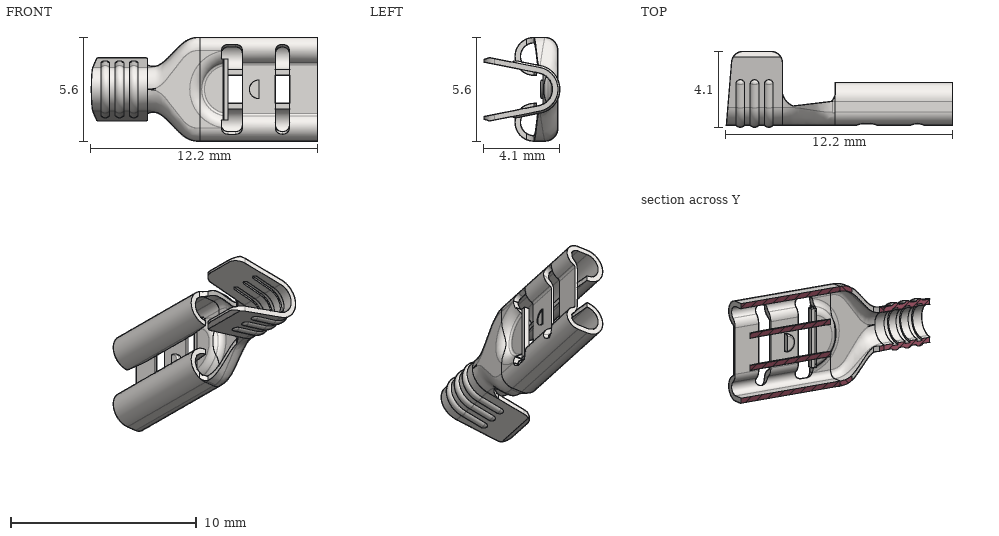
import cadquery as cq
import math


LENGTH = 12.19
HEIGHT = 5.6
HALF_HEIGHT = HEIGHT / 2
SHEET = 0.3

BARREL_END = 3.04
BARREL_RADIUS = 1.2
WING_LEAN = math.radians(11.2)
WING_TOP = 3.99
WING_SETBACK = 0.33
WING_CORNER = 0.63
BEVEL_START = 3.68
TIP_THICKNESS = 0.15

RIB_COUNT = 3
RIB_FIRST_X = 0.75
RIB_PITCH = 0.77
RIB_WIDTH = 0.46
RIB_HEIGHT = 0.11
GROOVE_WIDTH = 0.29
GROOVE_DEPTH = 0.11
RIB_STRAIGHT_END = 2.23

NECK_END = 5.86
CORNER_RADIUS = 0.71
CURL_RADIUS = 1.02
SIDE_WALL = 0.59
LIP_LENGTH = 0.15
LIP_TAPER = 9.8
FLOOR_HALF = HALF_HEIGHT - CORNER_RADIUS
CURL_CENTER_Y = CORNER_RADIUS + SIDE_WALL
CURL_CENTER_Z = HALF_HEIGHT - CURL_RADIUS

RAISE_DEPTH = 0.51
RAISE_RUN = 0.79
STRIP_THICKNESS = 0.15

SLOT_LENGTH = 4.84
SLOT_HALF = SLOT_LENGTH / 2
REAR_SLOT = (7.01, 8.14)
REAR_SLOT_CORNER = 0.37
FRONT_SLOT = (9.91, 10.68)
FRONT_SLOT_CORNER = 0.38
SLOT_CUT_TOP = 0.85

DISH_RADIUS = 2.1
DISH_X = 7.4
DISH_END = 7.08
TONGUE_HALF = 1.65
TONGUE_END = 7.37
TONGUE_STEP = 0.05
TONGUE_STEP_RUN = 0.07

DIMPLE_RADIUS = 0.5
DIMPLE_X = 9.02
DIMPLE_HEIGHT = 0.27
DIMPLE_ROUND = 0.1
DIMPLE_RECESS = 0.05

NECK_SECTIONS = 9
NECK_FLAT_START = 0.006
NECK_WALL_TOP = 1.95
HOLLOW_TOP = (BARREL_END, 1.71)
HOLLOW_MIDDLE = (3.18, 1.38)
HOLLOW_BOTTOM = (3.61, 1.05)
EAR_START = 5.66
EAR_MIDDLE = (5.8, 1.49)
EAR_TOP = (NECK_END, 1.83)


def on_circle(center, radius, angle):
    """Point (Y, Z) on a circle; angle 0 is straight down (-Y), 90 degrees is outward (+Z)."""
    return (center[0] - radius * math.cos(angle), center[1] + radius * math.sin(angle))


def box_between(x, y, z):
    return cq.Workplane("XY").box(
        x[1] - x[0], y[1] - y[0], z[1] - z[0], centered=False
    ).translate((x[0], y[0], z[0]))


def section_plane(x):
    return cq.Workplane("YZ", origin=(x, 0, 0))


def mirrored(body):
    return body.union(body.mirror("XY"))



def barrel_path(top, inset):
    """Key points of a U line parallel to the outer face: top, foot of the wing and bottom."""
    foot = on_circle((BARREL_RADIUS, 0), BARREL_RADIUS - inset, math.pi / 2 - WING_LEAN)
    top_z = foot[1] + (top - foot[0]) * math.tan(WING_LEAN)
    return (top, top_z), foot, (inset, 0)


def flipped(point):
    return (point[0], -point[1])


def barrel_sheet():
    outer_top, outer_foot, outer_bottom = barrel_path(BEVEL_START, 0)
    inner_top, inner_foot, inner_bottom = barrel_path(WING_TOP, SHEET)
    tip = (WING_TOP, inner_top[1] + TIP_THICKNESS)
    section = (
        section_plane(0)
        .moveTo(*tip)
        .lineTo(*outer_top)
        .lineTo(*outer_foot)
        .threePointArc(outer_bottom, flipped(outer_foot))
        .lineTo(*flipped(outer_top))
        .lineTo(*flipped(tip))
        .lineTo(*flipped(inner_top))
        .lineTo(*flipped(inner_foot))
        .threePointArc(inner_bottom, inner_foot)
        .lineTo(*inner_top)
        .close()
    )
    outline = (
        cq.Workplane("XY")
        .moveTo(0, 0)
        .lineTo(BARREL_END, 0)
        .lineTo(BARREL_END, WING_TOP)
        .lineTo(WING_SETBACK, WING_TOP)
        .close()
        .extrude(HALF_HEIGHT, both=True)
        .edges("|Z and >Y")
        .fillet(WING_CORNER)
    )
    return section.extrude(BARREL_END).intersect(outline)


def bead_path(x, inset):
    """Path across the barrel along the U line at `inset`, over the length of a rib."""
    top, foot, bottom = barrel_path(RIB_STRAIGHT_END, inset)
    return (
        section_plane(x)
        .moveTo(*top)
        .lineTo(*foot)
        .threePointArc(bottom, flipped(foot))
        .lineTo(*flipped(top))
    )


def bead_end_plane(x, inset):
    """Plane across the upper end of a bead path; its y axis points out of the wing."""
    top = barrel_path(RIB_STRAIGHT_END, inset)[0]
    along_x = cq.Vector(1, 0, 0)
    outward = cq.Vector(0, -math.sin(WING_LEAN), math.cos(WING_LEAN))
    return cq.Plane(origin=(x, *top), xDir=along_x, normal=along_x.cross(outward))


def swept_bead(section, half_section, path):
    """Sweep a section along a bead path and round both ends with the turned half section."""
    end = half_section.revolve(360, (0, 0), (0, 1))
    return section.sweep(path).union(end).union(end.mirror("XY"))


def crimp_rib(x):
    plane = bead_end_plane(x, 0)
    half = RIB_WIDTH / 2
    radius = (half ** 2 + RIB_HEIGHT ** 2) / (2 * RIB_HEIGHT)
    shoulder = (half / 2, RIB_HEIGHT - radius + math.sqrt(radius ** 2 - half ** 2 / 4))
    crest = (0, RIB_HEIGHT)
    section = cq.Workplane(plane).moveTo(-half, 0).threePointArc(crest, (half, 0)).close()
    half_section = cq.Workplane(plane).lineTo(half, 0).threePointArc(shoulder, crest).close()
    return swept_bead(section, half_section, bead_path(x, 0))


def crimp_groove(x):
    plane = bead_end_plane(x, SHEET)
    section = cq.Workplane(plane).rect(GROOVE_WIDTH, 2 * GROOVE_DEPTH)
    half_section = (
        cq.Workplane(plane)
        .moveTo(0, -GROOVE_DEPTH)
        .rect(GROOVE_WIDTH / 2, 2 * GROOVE_DEPTH, centered=False)
    )
    return swept_bead(section, half_section, bead_path(x, SHEET))


def make_barrel():
    barrel = barrel_sheet()
    for i in range(RIB_COUNT):
        x = RIB_FIRST_X + i * RIB_PITCH
        barrel = barrel.union(crimp_rib(x))
        barrel = barrel.cut(crimp_groove(x))
    return barrel



def joggle(edge, level, rise, convex):
    """Arc points of an S-shaped step that leaves `level` at Z = edge and climbs by `rise` inward."""
    angle = 2 * math.atan(rise / RAISE_RUN)
    concave = RAISE_RUN / math.sin(angle) - convex
    low = (level + convex, edge)
    high = (level + rise - concave, edge - RAISE_RUN)
    return (
        on_circle(low, convex, 0),
        on_circle(low, convex, -angle / 2),
        on_circle(low, convex, -angle),
        on_circle(high, concave, math.pi - angle / 2),
        on_circle(high, concave, math.pi),
    )


def raised_section(plane, edge, thickness):
    """Half section of the joggled sheet, from the floor's edge to the middle."""
    under = joggle(edge, 0, RAISE_DEPTH, CORNER_RADIUS)
    upper = joggle(edge, SHEET, RAISE_DEPTH + thickness - SHEET, CORNER_RADIUS - SHEET)
    return (
        plane
        .moveTo(*under[0])
        .threePointArc(under[1], under[2])
        .threePointArc(under[3], under[4])
        .lineTo(RAISE_DEPTH, 0)
        .lineTo(RAISE_DEPTH + thickness, 0)
        .lineTo(*upper[4])
        .threePointArc(upper[3], upper[2])
        .threePointArc(upper[1], upper[0])
        .close()
    )


def make_dish():
    turned = raised_section(section_plane(DISH_X), DISH_RADIUS, SHEET).revolve(360, (0, 0), (1, 0))
    neck_side = box_between((DISH_X - DISH_RADIUS, DISH_END), (0, SLOT_CUT_TOP), (-DISH_RADIUS, DISH_RADIUS))
    return turned.intersect(neck_side)


def dish_opening():
    return (
        cq.Workplane("XZ", origin=(DISH_X, 0, 0))
        .circle(DISH_RADIUS)
        .extrude(-SHEET)
    )



def rail(start, end):
    """Corner bend, side wall and curled edge on the +Z side, between two X positions."""
    corner = (CORNER_RADIUS, FLOOR_HALF)
    curl = (CURL_CENTER_Y, CURL_CENTER_Z)
    lip_y = CURL_CENTER_Y - LIP_LENGTH
    inner_corner = CORNER_RADIUS - SHEET
    inner_curl = CURL_RADIUS - SHEET
    eighth = math.pi / 4
    out, back, tip = 2 * eighth, 4 * eighth, 6 * eighth
    return (
        section_plane(start)
        .moveTo(*on_circle(corner, CORNER_RADIUS, 0))
        .threePointArc(on_circle(corner, CORNER_RADIUS, eighth), on_circle(corner, CORNER_RADIUS, out))
        .lineTo(*on_circle(curl, CURL_RADIUS, out))
        .threePointArc(on_circle(curl, CURL_RADIUS, back), on_circle(curl, CURL_RADIUS, tip))
        .lineTo(lip_y, CURL_CENTER_Z - CURL_RADIUS)
        .lineTo(lip_y, CURL_CENTER_Z - inner_curl)
        .lineTo(*on_circle(curl, inner_curl, tip))
        .threePointArc(on_circle(curl, inner_curl, back), on_circle(curl, inner_curl, out))
        .lineTo(*on_circle(corner, inner_corner, out))
        .threePointArc(on_circle(corner, inner_corner, eighth), on_circle(corner, inner_corner, 0))
        .close()
        .extrude(end - start)
    )


def lip_taper(end, inward):
    """Wedge that fades the curled lips out towards one end of the receptacle."""
    lip_y = CURL_CENTER_Y - LIP_LENGTH
    return (
        cq.Workplane("XY")
        .moveTo(end, lip_y)
        .lineTo(end + inward * LIP_TAPER, lip_y)
        .lineTo(end, CURL_CENTER_Y)
        .close()
        .extrude(CURL_CENTER_Z, both=True)
    )


def slot(limits, corner):
    """Floor slot whose end walls stand square to the sheet in the corner bends."""
    slope = math.tan(math.asin((SLOT_HALF - FLOOR_HALF) / CORNER_RADIUS))
    half_bottom = FLOOR_HALF + CORNER_RADIUS * slope
    half_top = half_bottom - SLOT_CUT_TOP * slope
    return (
        section_plane(limits[0])
        .moveTo(0, half_bottom)
        .lineTo(SLOT_CUT_TOP, half_top)
        .lineTo(SLOT_CUT_TOP, -half_top)
        .lineTo(0, -half_bottom)
        .close()
        .extrude(limits[1] - limits[0])
        .edges("not(|X or |Z)")
        .fillet(corner)
    )


def contact_strips():
    start = sum(REAR_SLOT) / 2
    section = raised_section(section_plane(start), FLOOR_HALF, STRIP_THICKNESS)
    return mirrored(section.extrude(LENGTH - start))


def half_disc(y, height):
    """Half-round pad from the plane Y = y upward, straight on the side facing the receptacle mouth."""
    return (
        cq.Workplane("XZ", origin=(DIMPLE_X, y, 0))
        .moveTo(0, DIMPLE_RADIUS)
        .threePointArc((-DIMPLE_RADIUS, 0), (0, -DIMPLE_RADIUS))
        .close()
        .extrude(-height)
    )


def dimple_recess():
    return half_disc(RAISE_DEPTH, DIMPLE_RECESS)


def dimple_bump():
    bump = half_disc(RAISE_DEPTH + STRIP_THICKNESS, DIMPLE_HEIGHT)
    return bump.faces(">Y").edges("%CIRCLE").fillet(DIMPLE_ROUND)


def tongue():
    """Stop tongue along the cut edge of the dish, bent back towards the floor."""
    low = RAISE_DEPTH - TONGUE_STEP
    step_end = DISH_END + TONGUE_STEP_RUN
    return (
        cq.Workplane("XY")
        .moveTo(DISH_END, RAISE_DEPTH)
        .lineTo(step_end, low)
        .lineTo(TONGUE_END, low)
        .lineTo(TONGUE_END, low + SHEET)
        .lineTo(step_end, low + SHEET)
        .lineTo(DISH_END, RAISE_DEPTH + SHEET)
        .close()
        .extrude(TONGUE_HALF, both=True)
    )


def make_receptacle(dish):
    rear_floor = box_between((NECK_END, REAR_SLOT[0]), (0, SHEET), (-FLOOR_HALF, FLOOR_HALF))
    body = mirrored(rail(NECK_END, LENGTH)).union(contact_strips())
    body = body.cut(lip_taper(NECK_END, 0.12)).cut(lip_taper(LENGTH, -0.12))
    body = body.cut(slot(REAR_SLOT, REAR_SLOT_CORNER)).cut(slot(FRONT_SLOT, FRONT_SLOT_CORNER))
    body = body.union(rear_floor.cut(dish_opening()))
    dish_part = dish.intersect(
        box_between((NECK_END, LENGTH), (0, SLOT_CUT_TOP), (-FLOOR_HALF, FLOOR_HALF)))
    dish_sides = box_between((REAR_SLOT[0], DISH_END), (0, SLOT_CUT_TOP), (TONGUE_HALF, SLOT_HALF))
    body = body.union(dish_part.cut(mirrored(dish_sides))).union(tongue())
    return body.cut(dimple_recess()).union(dimple_bump())



def neck_section(fraction):
    """Closed U section of the neck; fraction runs from 0 at the barrel to 1 at the receptacle."""
    blend = fraction ** 3 * (6 * fraction ** 2 - 15 * fraction + 10)
    flat = NECK_FLAT_START + (FLOOR_HALF - NECK_FLAT_START) * blend
    radius = BARREL_RADIUS + (CORNER_RADIUS - BARREL_RADIUS) * blend
    lean = WING_LEAN * (1 - blend)
    center = (radius, flat)

    def half_points(inset):
        bend = math.pi / 2 - lean
        bottom = on_circle(center, radius - inset, 0)
        middle = on_circle(center, radius - inset, bend / 2)
        foot = on_circle(center, radius - inset, bend)
        top = (NECK_WALL_TOP, foot[1] + (NECK_WALL_TOP - foot[0]) * math.tan(lean))
        return bottom, middle, foot, top

    bottom, middle, foot, top = half_points(0)
    in_bottom, in_middle, in_foot, in_top = half_points(SHEET)
    return (
        section_plane(BARREL_END + fraction * (NECK_END - BARREL_END))
        .moveTo(*top)
        .lineTo(*foot)
        .threePointArc(middle, bottom)
        .lineTo(*flipped(bottom))
        .threePointArc(flipped(middle), flipped(foot))
        .lineTo(*flipped(top))
        .lineTo(*flipped(in_top))
        .lineTo(*flipped(in_foot))
        .threePointArc(flipped(in_middle), flipped(in_bottom))
        .lineTo(*in_bottom)
        .threePointArc(in_middle, in_foot)
        .lineTo(*in_top)
        .close()
        .val()
    )


def neck_trim():
    """Side outline of the neck: hollowed behind the wings, rising gently to the receptacle."""
    return (
        cq.Workplane("XY")
        .moveTo(BARREL_END, 0)
        .lineTo(*HOLLOW_TOP)
        .threePointArc(HOLLOW_MIDDLE, HOLLOW_BOTTOM)
        .lineTo(EAR_START, CURL_CENTER_Y)
        .lineTo(NECK_END, CURL_CENTER_Y)
        .lineTo(NECK_END, 0)
        .close()
        .extrude(HALF_HEIGHT, both=True)
    )


def neck_ear():
    """Start of the curled edge, swept up from the neck wall to meet the receptacle."""
    outline = (
        cq.Workplane("XY")
        .moveTo(EAR_START, CURL_CENTER_Y)
        .threePointArc(EAR_MIDDLE, EAR_TOP)
        .lineTo(NECK_END, CURL_CENTER_Y)
        .close()
        .extrude(HALF_HEIGHT)
    )
    outer_half = box_between((EAR_START, NECK_END), (0, NECK_WALL_TOP), (CURL_CENTER_Z, HALF_HEIGHT))
    return rail(EAR_START, NECK_END).intersect(outline).intersect(outer_half)


def make_neck(dish):
    wires = [neck_section(i / (NECK_SECTIONS - 1)) for i in range(NECK_SECTIONS)]
    body = cq.Workplane(cq.Solid.makeLoft(wires)).intersect(neck_trim())
    body = body.union(mirrored(neck_ear())).cut(dish_opening())
    dish_part = dish.intersect(
        box_between((BARREL_END, NECK_END), (0, SLOT_CUT_TOP), (-FLOOR_HALF, FLOOR_HALF)))
    return body.union(dish_part)


dish = make_dish()
barrel = make_barrel()
neck = make_neck(dish)
receptacle = make_receptacle(dish)

result = cq.Compound.makeCompound([part.solids().val() for part in (barrel, neck, receptacle)])